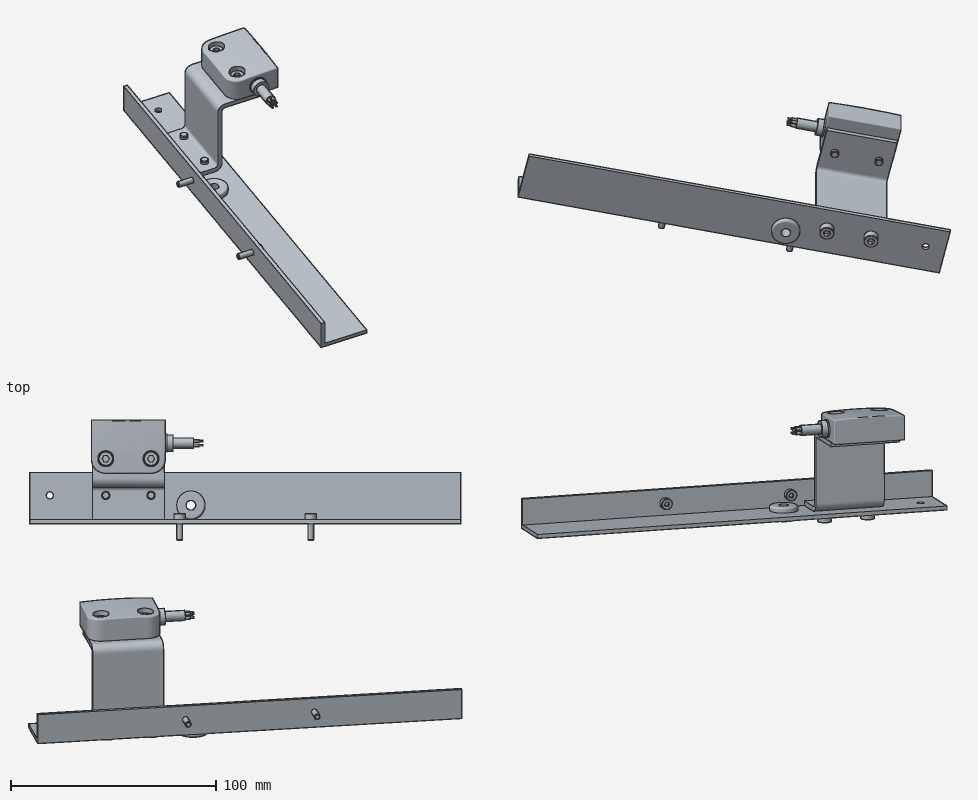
import cadquery as cq
import math


RAIL_LENGTH = 210.0
RAIL_DEPTH = 25.0
RAIL_HEIGHT = 15.0
RAIL_THICKNESS = 2.0
END_HOLE_X = 9.9
END_HOLE_DIAMETER = 3.4

BRACKET_WIDTH = 35.0
BRACKET_THICKNESS = 2.3
BRACKET_RISE = 40.1
LOWER_FLANGE_LENGTH = 18.0
UPPER_FLANGE_LENGTH = 26.0
BEND_INNER_RADIUS = 1.9

SENSOR_CENTER_X = 48.0
SENSOR_WIDTH = 36.1
SENSOR_DEPTH = 26.0
SENSOR_HEIGHT = 12.8
SENSOR_BACK_Y = 50.6
SENSOR_CORNER_RADIUS = 7.0
SENSOR_DOME_RADIUS = 252.0
SENSOR_EDGE_RADIUS = 0.52
COUNTERBORE_DIAMETER = 7.8

CABLE_Y = 39.3
CABLE_HEIGHT_ON_SENSOR = 5.9
GLAND_FLANGE_DIAMETER = 8.8
GLAND_FLANGE_THICKNESS = 0.74
GLAND_DIAMETER = 8.2
GLAND_LENGTH = 3.0
CABLE_DIAMETER = 5.0
CABLE_LENGTH = 10.0
WIRE_DIAMETER = 1.5
WIRE_LENGTH = 2.5
CONDUCTOR_DIAMETER = 0.8
CONDUCTOR_LENGTH = 1.9
WIRE_OFFSET = 1.0

LARGE_SHANK_DIAMETER = 4.0
LARGE_HEAD_DIAMETER = 7.0
LARGE_HEAD_HEIGHT = 4.0
SENSOR_SCREW_LENGTH = 10.0
SENSOR_SCREW_PROTRUSION = 1.9
BRACKET_SCREW_LENGTH = 6.0
SCREW_SPACING = 22.0
SENSOR_SCREW_Y = 31.7
BRACKET_SCREW_Y = 13.9

SMALL_SHANK_DIAMETER = 3.0
SMALL_HEAD_DIAMETER = 5.5
SMALL_HEAD_HEIGHT = 3.0
WALL_SCREW_LENGTH = 10.0
WALL_SCREW_XS = (73.0, 137.0)
WALL_SCREW_Z = 8.0

SCREW_HEAD_CHAMFER = 0.2
SCREW_TIP_CHAMFER = 0.5
SOCKET_WIDTH_RATIO = 0.75
SOCKET_DEPTH_RATIO = 0.5

GROMMET_X = 78.5
GROMMET_Y = 9.0
GROMMET_FLANGE_DIAMETER = 13.9
GROMMET_FLANGE_THICKNESS = 2.5
GROMMET_NECK_DIAMETER = 9.0
GROMMET_BORE_DIAMETER = 4.6
GROMMET_EDGE_RADIUS = 0.95

BRACKET_FRONT_Y = RAIL_THICKNESS
BRACKET_BOTTOM_Z = RAIL_THICKNESS
BRACKET_TOP_Z = BRACKET_BOTTOM_Z + BRACKET_RISE
WEB_BACK_Y = BRACKET_FRONT_Y + LOWER_FLANGE_LENGTH
WEB_FRONT_Y = WEB_BACK_Y - BRACKET_THICKNESS
UPPER_FLANGE_END_Y = WEB_FRONT_Y + UPPER_FLANGE_LENGTH
SENSOR_TOP_Z = BRACKET_TOP_Z + SENSOR_HEIGHT
SENSOR_RIGHT_X = SENSOR_CENTER_X + SENSOR_WIDTH / 2
CABLE_Z = BRACKET_TOP_Z + CABLE_HEIGHT_ON_SENSOR
SENSOR_SCREW_SEAT_Z = BRACKET_TOP_Z - BRACKET_THICKNESS - SENSOR_SCREW_PROTRUSION + SENSOR_SCREW_LENGTH
SCREW_XS = [SENSOR_CENTER_X + side * SCREW_SPACING / 2 for side in (-1, 1)]


def vertical_holes(points, diameter):
    """Cylinders along Z at the given points, long enough to pass through any body."""
    return (
        cq.Workplane("XY", origin=(0, 0, -SENSOR_TOP_Z))
        .pushPoints(points)
        .circle(diameter / 2)
        .extrude(3 * SENSOR_TOP_Z)
    )


def make_rail():
    outline = [
        (0, 0),
        (RAIL_DEPTH, 0),
        (RAIL_DEPTH, RAIL_THICKNESS),
        (RAIL_THICKNESS, RAIL_THICKNESS),
        (RAIL_THICKNESS, RAIL_HEIGHT),
        (0, RAIL_HEIGHT),
    ]
    rail = cq.Workplane("YZ").polyline(outline).close().extrude(RAIL_LENGTH)
    rail = rail.cut(vertical_holes([(END_HOLE_X, BRACKET_SCREW_Y)], END_HOLE_DIAMETER))
    rail = rail.cut(vertical_holes([(GROMMET_X, GROMMET_Y)], GROMMET_NECK_DIAMETER))
    rail = rail.cut(vertical_holes([(x, BRACKET_SCREW_Y) for x in SCREW_XS], LARGE_SHANK_DIAMETER))
    wall_holes = (
        cq.Workplane("XZ", origin=(0, RAIL_THICKNESS, 0))
        .pushPoints([(x, WALL_SCREW_Z) for x in WALL_SCREW_XS])
        .circle(SMALL_SHANK_DIAMETER / 2)
        .extrude(RAIL_THICKNESS)
    )
    return rail.cut(wall_holes)


def make_bracket():
    outline = [
        (BRACKET_FRONT_Y, BRACKET_BOTTOM_Z),
        (WEB_BACK_Y, BRACKET_BOTTOM_Z),
        (WEB_BACK_Y, BRACKET_TOP_Z - BRACKET_THICKNESS),
        (UPPER_FLANGE_END_Y, BRACKET_TOP_Z - BRACKET_THICKNESS),
        (UPPER_FLANGE_END_Y, BRACKET_TOP_Z),
        (WEB_FRONT_Y, BRACKET_TOP_Z),
        (WEB_FRONT_Y, BRACKET_BOTTOM_Z + BRACKET_THICKNESS),
        (BRACKET_FRONT_Y, BRACKET_BOTTOM_Z + BRACKET_THICKNESS),
    ]
    inner_bends = [
        (WEB_BACK_Y, BRACKET_TOP_Z - BRACKET_THICKNESS),
        (WEB_FRONT_Y, BRACKET_BOTTOM_Z + BRACKET_THICKNESS),
    ]
    outer_bends = [(WEB_BACK_Y, BRACKET_BOTTOM_Z), (WEB_FRONT_Y, BRACKET_TOP_Z)]
    left_x = SENSOR_CENTER_X - BRACKET_WIDTH / 2
    bracket = cq.Workplane("YZ", origin=(left_x, 0, 0)).polyline(outline).close().extrude(BRACKET_WIDTH)
    for corners, radius in (
        (inner_bends, BEND_INNER_RADIUS),
        (outer_bends, BEND_INNER_RADIUS + BRACKET_THICKNESS),
    ):
        for y, z in corners:
            bend_edge = cq.selectors.NearestToPointSelector((SENSOR_CENTER_X, y, z))
            bracket = bracket.edges("|X").edges(bend_edge).fillet(radius)
    screw_points = [(x, y) for x in SCREW_XS for y in (BRACKET_SCREW_Y, SENSOR_SCREW_Y)]
    return bracket.cut(vertical_holes(screw_points, LARGE_SHANK_DIAMETER))


def make_sensor():
    center_y = SENSOR_BACK_Y - SENSOR_DEPTH / 2
    body = (
        cq.Workplane("XY", origin=(SENSOR_CENTER_X, center_y, BRACKET_TOP_Z))
        .rect(SENSOR_WIDTH, SENSOR_DEPTH)
        .extrude(SENSOR_HEIGHT)
        .edges("|Z and <Y")
        .fillet(SENSOR_CORNER_RADIUS)
    )
    dome = cq.Workplane(
        "XY", origin=(SENSOR_CENTER_X, SENSOR_BACK_Y, SENSOR_TOP_Z - SENSOR_DOME_RADIUS)
    ).sphere(SENSOR_DOME_RADIUS)
    body = body.intersect(dome)
    body = body.edges("(|Z and >Y) or (not |Z and (not <Z))").fillet(SENSOR_EDGE_RADIUS)

    screw_points = [(x, SENSOR_SCREW_Y) for x in SCREW_XS]
    counterbores = (
        cq.Workplane("XY", origin=(0, 0, SENSOR_SCREW_SEAT_Z))
        .pushPoints(screw_points)
        .circle(COUNTERBORE_DIAMETER / 2)
        .extrude(SENSOR_HEIGHT)
    )
    body = body.cut(counterbores).cut(vertical_holes(screw_points, LARGE_SHANK_DIAMETER))

    wire_points = [(y, z) for y in (-WIRE_OFFSET, WIRE_OFFSET) for z in (-WIRE_OFFSET, WIRE_OFFSET)]
    sections = [
        (GLAND_FLANGE_DIAMETER, GLAND_FLANGE_THICKNESS, [(0, 0)]),
        (GLAND_DIAMETER, GLAND_LENGTH, [(0, 0)]),
        (CABLE_DIAMETER, CABLE_LENGTH, [(0, 0)]),
        (WIRE_DIAMETER, WIRE_LENGTH, wire_points),
        (CONDUCTOR_DIAMETER, CONDUCTOR_LENGTH, wire_points),
    ]
    start_x = SENSOR_RIGHT_X
    for diameter, length, points in sections:
        section = (
            cq.Workplane("YZ", origin=(start_x, CABLE_Y, CABLE_Z))
            .pushPoints(points)
            .circle(diameter / 2)
            .extrude(length)
        )
        body = body.union(section)
        start_x += length
    return body


def make_cap_screw(seat, head_direction, shank_diameter, length, head_diameter, head_height):
    """Hexagon-socket cap screw; `seat` is the middle of the face under the head."""
    plane = cq.Plane(origin=seat, xDir=(1, 0, 0), normal=head_direction)
    head = (
        cq.Workplane(plane)
        .circle(head_diameter / 2)
        .extrude(head_height)
        .faces(cq.selectors.DirectionMinMaxSelector(cq.Vector(*head_direction)))
        .chamfer(SCREW_HEAD_CHAMFER)
    )
    shank = (
        cq.Workplane(plane)
        .circle(shank_diameter / 2)
        .extrude(-length)
        .faces(cq.selectors.DirectionMinMaxSelector(cq.Vector(*head_direction), False))
        .chamfer(SCREW_TIP_CHAMFER)
    )
    across_corners = SOCKET_WIDTH_RATIO * shank_diameter / math.cos(math.pi / 6)
    socket = (
        cq.Workplane(plane)
        .workplane(offset=head_height)
        .polygon(6, across_corners)
        .extrude(-SOCKET_DEPTH_RATIO * head_height)
    )
    return head.union(shank).cut(socket)


def make_sensor_screw(x):
    return make_cap_screw(
        (x, SENSOR_SCREW_Y, SENSOR_SCREW_SEAT_Z), (0, 0, 1),
        LARGE_SHANK_DIAMETER, SENSOR_SCREW_LENGTH, LARGE_HEAD_DIAMETER, LARGE_HEAD_HEIGHT,
    )


def make_bracket_screw(x):
    return make_cap_screw(
        (x, BRACKET_SCREW_Y, 0), (0, 0, -1),
        LARGE_SHANK_DIAMETER, BRACKET_SCREW_LENGTH, LARGE_HEAD_DIAMETER, LARGE_HEAD_HEIGHT,
    )


def make_wall_screw(x):
    return make_cap_screw(
        (x, RAIL_THICKNESS, WALL_SCREW_Z), (0, 1, 0),
        SMALL_SHANK_DIAMETER, WALL_SCREW_LENGTH, SMALL_HEAD_DIAMETER, SMALL_HEAD_HEIGHT,
    )


def make_grommet():
    total_height = RAIL_THICKNESS + 2 * GROMMET_FLANGE_THICKNESS
    grommet = (
        cq.Workplane("XY", origin=(GROMMET_X, GROMMET_Y, -GROMMET_FLANGE_THICKNESS))
        .circle(GROMMET_FLANGE_DIAMETER / 2)
        .extrude(total_height)
        .faces("<Z or >Z")
        .edges()
        .fillet(GROMMET_EDGE_RADIUS)
    )
    groove = (
        cq.Workplane("XY", origin=(GROMMET_X, GROMMET_Y, 0))
        .circle(GROMMET_FLANGE_DIAMETER)
        .circle(GROMMET_NECK_DIAMETER / 2)
        .extrude(RAIL_THICKNESS)
    )
    bore = vertical_holes([(GROMMET_X, GROMMET_Y)], GROMMET_BORE_DIAMETER)
    return grommet.cut(groove).cut(bore)


rail = make_rail()
bracket = make_bracket()
sensor = make_sensor()
grommet = make_grommet()
sensor_screws = [make_sensor_screw(x) for x in SCREW_XS]
bracket_screws = [make_bracket_screw(x) for x in SCREW_XS]
wall_screws = [make_wall_screw(x) for x in WALL_SCREW_XS]

bodies = [rail, bracket, sensor, grommet, *sensor_screws, *bracket_screws, *wall_screws]
result = cq.Compound.makeCompound([body.val() for body in bodies])